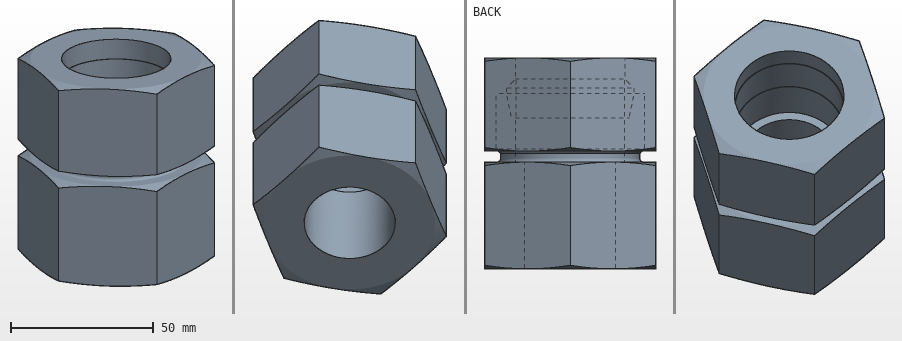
import cadquery as cq
import math

TOTAL_HEIGHT = 74.0
ACROSS_FLATS = 60.0
CORNER_DIAMETER = ACROSS_FLATS / math.cos(math.radians(30))
HEX_CHAMFER_ANGLE = 15.0

BODY_HEX_HEIGHT = 37.45
PASSAGE_DIAMETER = 32.0
SOCKET_DIAMETER = 38.25
SOCKET_FLOOR = BODY_HEX_HEIGHT
THREAD_DIAMETER = 52.0
NECK_DIAMETER = 49.0
NECK_STEP = (THREAD_DIAMETER - NECK_DIAMETER) / 2
NECK_FILLET = 1.25
NECK_TOP = 40.5

NUT_BOTTOM = 41.3
NUT_BORE_DIAMETER = 38.3

RING_BOTTOM = 52.9
RING_TOP = 66.6
RING_BORE_DIAMETER = 38.0
RING_TIP_DIAMETER = 41.2
RING_DIAMETER = 44.85
SEAT_HALF_ANGLE = 12.0
SEAT_HEIGHT = (RING_DIAMETER - RING_TIP_DIAMETER) / 2 / math.tan(math.radians(SEAT_HALF_ANGLE))
BODY_TOP = RING_BOTTOM + SEAT_HEIGHT
RING_SHOULDER = RING_TOP - (RING_DIAMETER - NUT_BORE_DIAMETER) / 2


def cylinder(diameter, bottom, top):
    """Upright cylinder on the common axis."""
    return cq.Workplane("XY").workplane(offset=bottom).circle(diameter / 2).extrude(top - bottom)


def revolve_profile(profile):
    """Turn a closed radius-height profile about the Z axis."""
    return profile.close().revolve(360, (0, 0, 0), (0, 1, 0))


def chamfered_hexagon(bottom, top):
    """Hexagonal prism with corners on the Y axis and conical chamfers at both ends."""
    prism = (
        cq.Workplane("XY")
        .workplane(offset=bottom)
        .polygon(6, CORNER_DIAMETER)
        .extrude(top - bottom)
        .rotate((0, 0, 0), (0, 0, 1), 90)
    )
    face_radius = ACROSS_FLATS / 2
    corner_radius = CORNER_DIAMETER / 2
    outer_radius = corner_radius + 0.75
    drop = (outer_radius - face_radius) * math.tan(math.radians(HEX_CHAMFER_ANGLE))
    envelope = revolve_profile(
        cq.Workplane("XZ")
        .moveTo(0, bottom)
        .lineTo(face_radius, bottom)
        .lineTo(outer_radius, bottom + drop)
        .lineTo(outer_radius, top - drop)
        .lineTo(face_radius, top)
        .lineTo(0, top)
    )
    return prism.intersect(envelope)


def make_body():
    """Hexagonal base with a necked spigot, a tube socket and a tapered ring seat."""
    neck_radius = NECK_DIAMETER / 2
    thread_radius = THREAD_DIAMETER / 2
    bend = NECK_FILLET * (1 - math.sqrt(0.5))
    spigot = revolve_profile(
        cq.Workplane("XZ")
        .moveTo(0, BODY_HEX_HEIGHT)
        .lineTo(neck_radius + NECK_FILLET, BODY_HEX_HEIGHT)
        .threePointArc(
            (neck_radius + bend, BODY_HEX_HEIGHT + bend),
            (neck_radius, BODY_HEX_HEIGHT + NECK_FILLET),
        )
        .lineTo(neck_radius, NECK_TOP)
        .lineTo(thread_radius, NECK_TOP + NECK_STEP)
        .lineTo(thread_radius, BODY_TOP)
        .lineTo(0, BODY_TOP)
    )
    seat = revolve_profile(
        cq.Workplane("XZ")
        .moveTo(0, RING_BOTTOM)
        .lineTo(RING_TIP_DIAMETER / 2, RING_BOTTOM)
        .lineTo(RING_DIAMETER / 2, BODY_TOP)
        .lineTo(0, BODY_TOP)
    )
    return (
        chamfered_hexagon(0, BODY_HEX_HEIGHT)
        .union(spigot)
        .cut(cylinder(PASSAGE_DIAMETER, 0, BODY_TOP))
        .cut(cylinder(SOCKET_DIAMETER, SOCKET_FLOOR, BODY_TOP))
        .cut(seat)
    )


def make_ring():
    """Ring with a tapered tip in the body and a 45 degree shoulder under the nut."""
    return revolve_profile(
        cq.Workplane("XZ")
        .moveTo(RING_BORE_DIAMETER / 2, RING_BOTTOM)
        .lineTo(RING_TIP_DIAMETER / 2, RING_BOTTOM)
        .lineTo(RING_DIAMETER / 2, BODY_TOP)
        .lineTo(RING_DIAMETER / 2, RING_SHOULDER)
        .lineTo(NUT_BORE_DIAMETER / 2, RING_TOP)
        .lineTo(RING_BORE_DIAMETER / 2, RING_TOP)
    )


def make_nut():
    """Hexagonal nut bored for the spigot, the ring and the tube."""
    ring_recess = revolve_profile(
        cq.Workplane("XZ")
        .moveTo(0, BODY_TOP)
        .lineTo(RING_DIAMETER / 2, BODY_TOP)
        .lineTo(RING_DIAMETER / 2, RING_SHOULDER)
        .lineTo(NUT_BORE_DIAMETER / 2, RING_TOP)
        .lineTo(0, RING_TOP)
    )
    return (
        chamfered_hexagon(NUT_BOTTOM, TOTAL_HEIGHT)
        .cut(cylinder(THREAD_DIAMETER, NUT_BOTTOM, BODY_TOP))
        .cut(ring_recess)
        .cut(cylinder(NUT_BORE_DIAMETER, RING_TOP, TOTAL_HEIGHT))
    )


body = make_body()
ring = make_ring()
nut = make_nut()

result = cq.Compound.makeCompound([body.val(), ring.val(), nut.val()])